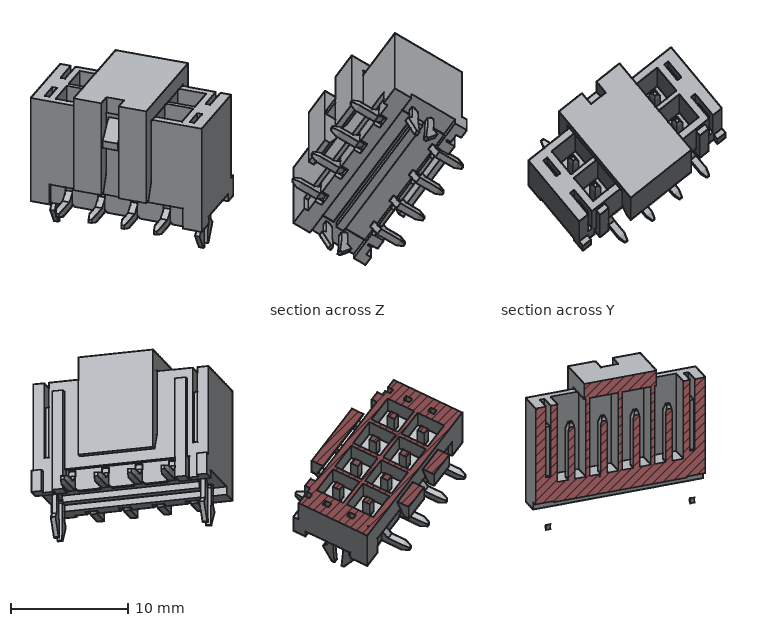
import cadquery as cq


LENGTH = 15.7
HALF_LENGTH = LENGTH / 2
HALF_DEPTH = 3.44
HEIGHT = 9.9

COLUMNS = 4
PITCH = 3.0
ROW_Y = PITCH / 2
COLUMN_XS = [(i - (COLUMNS - 1) / 2) * PITCH for i in range(COLUMNS)]
CAVITY_WIDTH = 2.6
CAVITY_FLOOR = 2.51

PIN_WIDTH = 0.63
PIN_THICKNESS = 0.7
PIN_TIP_WIDTH = 0.28
PIN_TIP_THICKNESS = 0.31
PIN_TIP_LENGTH = 0.63
POST_TOP = 7.85
FOOT_REACH = 5.7
FOOT_BEND_OUTER = 3.69
FOOT_BEND_INNER = 3.12
STEM_OUTER = 2.94
STEM_INNER = 2.4
STEM_TOP = 1.8
STEM_OUTER_BEND = 1.38

RECESS_HALF_LENGTH = 6.14
RECESS_HEIGHT = 1.93
RECESS_DEPTH = 0.38
SLOT_FLARE = 0.24

RIB_PROJECTION = 0.5
TALL_RIB_X = 5.5
TALL_RIB_WIDTH = 0.95
TALL_RIB_TOP = 8.92
END_RIB_WIDTH = 0.9
END_RIB_TOP = RECESS_HEIGHT

TUNNEL_REAR = 2.73
TUNNEL_FRONT = -1.75
TUNNEL_HEIGHT = 0.7
PAD_THICKNESS = 0.11
REAR_PAD_EDGE = 0.57
FRONT_PAD_EDGE = -0.45
STANDOFF_FRONT = -0.2

LOCK_X = 6.65
LOCK_THICKNESS = 0.42
LOCK_SLOT_FLOOR = 3.14
LOCK_ARM_TOP = 7.85
LOCK_REAR_SLOT_FRONT = 1.02
LOCK_REAR_ARM_FRONT = 1.59
LOCK_REAR_ARM_REAR = 2.94
LOCK_FRONT_SLOT_FRONT = -2.62
LOCK_FRONT_SLOT_REAR = -0.85
LOCK_FRONT_ARM_REAR = -1.41
LOCK_CENTRE_Y = 0.08
LEG_BOTTOM = -3.11
LEG_OUTER = 1.1
LEG_INNER = 0.49
LEG_INNER_CHAMFER = 0.31
LEG_CHAMFER_TOP = 0.61
LEG_TAPER_TOP = -1.25
BARB_OUTER = 1.5
BARB_Z = -1.6
BARB_TOP = -1.13
LEG_TIP_OUTER = 0.6
LEG_TIP_INNER = 0.35

WEDGE_WIDTH = 1.38
WEDGE_TOP = 9.42
WEDGE_REACH = 1.37
WEDGE_LIP_TOP = 7.77
WEDGE_LIP_BOTTOM = 7.11
WEDGE_FILLET = 0.68

CAP_WIDTH = 6.67
CAP_TOP = 11.4
CAP_BOTTOM = 2.59
CAP_OUTER = 4.87
CAP_INNER = 3.7
CAP_LEG_TIP = 4.36
CAP_TAPER_TOP = 4.07
CAP_NOTCH_WIDTH = 1.6
CAP_NOTCH_BACK = -3.63


def block(x0, x1, y0, y1, z0, z1):
    """Box between two opposite corners."""
    return cq.Workplane("XY").box(x1 - x0, y1 - y0, z1 - z0, centered=False).translate((x0, y0, z0))


def slab(points, x_centre, thickness):
    """Closed YZ outline extruded along X, centred on x_centre."""
    outline = cq.Workplane("YZ", origin=(x_centre, 0, 0)).polyline(points).close()
    return outline.extrude(thickness / 2, both=True)


def tapered_tip(plane):
    """Pyramid tip of a contact, growing along the normal of the plane."""
    return (
        cq.Workplane(plane)
        .rect(PIN_WIDTH, PIN_THICKNESS)
        .workplane(offset=PIN_TIP_LENGTH)
        .rect(PIN_TIP_WIDTH, PIN_TIP_THICKNESS)
        .loft(combine=True)
    )


def on_both_rows(front_shape):
    """Front shape together with its mirror image at the rear."""
    return front_shape.union(front_shape.mirror("XZ"))


def make_housing():
    housing = block(-HALF_LENGTH, HALF_LENGTH, -HALF_DEPTH, HALF_DEPTH, 0, HEIGHT)

    for x in COLUMN_XS:
        cavity = block(
            x - CAVITY_WIDTH / 2,
            x + CAVITY_WIDTH / 2,
            -ROW_Y - CAVITY_WIDTH / 2,
            -ROW_Y + CAVITY_WIDTH / 2,
            CAVITY_FLOOR,
            HEIGHT,
        )
        housing = housing.cut(on_both_rows(cavity))

    recess_back = -HALF_DEPTH + RECESS_DEPTH
    recess = block(-RECESS_HALF_LENGTH, RECESS_HALF_LENGTH, -HALF_DEPTH, recess_back, 0, RECESS_HEIGHT)
    housing = housing.cut(on_both_rows(recess))

    housing = housing.cut(block(-HALF_LENGTH, HALF_LENGTH, TUNNEL_FRONT, TUNNEL_REAR, 0, TUNNEL_HEIGHT))
    pad_bottom = TUNNEL_HEIGHT - PAD_THICKNESS
    for y0, y1, z0 in (
        (REAR_PAD_EDGE, TUNNEL_REAR, pad_bottom),
        (TUNNEL_FRONT, FRONT_PAD_EDGE, pad_bottom),
        (STANDOFF_FRONT, REAR_PAD_EDGE, 0),
    ):
        housing = housing.union(block(-RECESS_HALF_LENGTH, RECESS_HALF_LENGTH, y0, y1, z0, TUNNEL_HEIGHT))

    half_width = PIN_WIDTH / 2
    for x in COLUMN_XS:
        slot = (
            cq.Workplane("XZ", origin=(x, -STEM_INNER, 0))
            .moveTo(-half_width - SLOT_FLARE, 0)
            .lineTo(-half_width, SLOT_FLARE)
            .lineTo(-half_width, STEM_TOP)
            .lineTo(half_width, STEM_TOP)
            .lineTo(half_width, SLOT_FLARE)
            .lineTo(half_width + SLOT_FLARE, 0)
            .close()
            .extrude(HALF_DEPTH - STEM_INNER)
        )
        housing = housing.cut(on_both_rows(slot))
    return housing


def make_rear_ribs():
    rib_back = HALF_DEPTH + RIB_PROJECTION
    rib_front = HALF_DEPTH - RECESS_DEPTH
    tall_rib = block(
        TALL_RIB_X - TALL_RIB_WIDTH / 2,
        TALL_RIB_X + TALL_RIB_WIDTH / 2,
        rib_front,
        rib_back,
        0,
        TALL_RIB_TOP,
    )
    end_rib = block(HALF_LENGTH - END_RIB_WIDTH, HALF_LENGTH, rib_front, rib_back, 0, END_RIB_TOP)
    ribs = tall_rib.union(end_rib)
    return ribs.union(ribs.mirror("YZ"))


def make_contact(x):
    """Front contact: bent solder foot with its tip, and the post in the cavity."""
    foot_end = -FOOT_REACH + PIN_TIP_LENGTH
    foot = slab(
        [
            (foot_end, 0),
            (-FOOT_BEND_INNER, 0),
            (-STEM_INNER, FOOT_BEND_INNER - STEM_INNER),
            (-STEM_INNER, STEM_TOP),
            (-STEM_OUTER, STEM_TOP),
            (-STEM_OUTER, STEM_OUTER_BEND),
            (-FOOT_BEND_OUTER, PIN_THICKNESS),
            (foot_end, PIN_THICKNESS),
        ],
        x,
        PIN_WIDTH,
    )
    foot_tip = tapered_tip(cq.Plane.named("XZ", origin=(x, foot_end, PIN_THICKNESS / 2)))

    post_shoulder = POST_TOP - PIN_TIP_LENGTH
    post = block(
        x - PIN_WIDTH / 2,
        x + PIN_WIDTH / 2,
        -ROW_Y - PIN_THICKNESS / 2,
        -ROW_Y + PIN_THICKNESS / 2,
        CAVITY_FLOOR,
        post_shoulder,
    )
    post_tip = tapered_tip(cq.Plane.named("XY", origin=(x, -ROW_Y, post_shoulder)))
    return foot.union(foot_tip).union(post.union(post_tip))


def lock_slots(x):
    """Rear slot, open through the rear wall, and front slot of one board lock."""
    left = x - LOCK_THICKNESS / 2
    right = x + LOCK_THICKNESS / 2
    rear = block(left, right, LOCK_REAR_SLOT_FRONT, HALF_DEPTH, LOCK_SLOT_FLOOR, HEIGHT)
    front = block(left, right, LOCK_FRONT_SLOT_FRONT, LOCK_FRONT_SLOT_REAR, LOCK_SLOT_FLOOR, HEIGHT)
    return rear.union(front)


def make_lock(x):
    """Two arms standing in the slots and two barbed legs below the housing."""
    left = x - LOCK_THICKNESS / 2
    right = x + LOCK_THICKNESS / 2
    rear_arm = block(left, right, LOCK_REAR_ARM_FRONT, LOCK_REAR_ARM_REAR, LOCK_SLOT_FLOOR, LOCK_ARM_TOP)
    front_arm = block(left, right, LOCK_FRONT_SLOT_FRONT, LOCK_FRONT_ARM_REAR, LOCK_SLOT_FLOOR, LOCK_ARM_TOP)
    lock = rear_arm.union(front_arm)
    leg = [
        (LEG_OUTER, TUNNEL_HEIGHT),
        (LEG_OUTER, BARB_TOP),
        (BARB_OUTER, BARB_Z),
        (LEG_TIP_OUTER, LEG_BOTTOM),
        (LEG_TIP_INNER, LEG_BOTTOM),
        (LEG_INNER, LEG_TAPER_TOP),
        (LEG_INNER, LEG_CHAMFER_TOP - LEG_INNER_CHAMFER),
        (LEG_INNER + LEG_INNER_CHAMFER, LEG_CHAMFER_TOP),
        (LEG_INNER + LEG_INNER_CHAMFER, TUNNEL_HEIGHT),
    ]
    for side in (-1, 1):
        lock = lock.union(slab([(LOCK_CENTRE_Y + side * y, z) for y, z in leg], x, LOCK_THICKNESS))
    return lock


def make_wedge():
    fillet_bend = WEDGE_FILLET * (1 - 0.5**0.5)
    return (
        cq.Workplane("YZ")
        .moveTo(-HALF_DEPTH, WEDGE_TOP)
        .lineTo(-HALF_DEPTH - WEDGE_REACH, WEDGE_LIP_TOP)
        .lineTo(-HALF_DEPTH - WEDGE_REACH, WEDGE_LIP_BOTTOM)
        .lineTo(-HALF_DEPTH - WEDGE_FILLET, WEDGE_LIP_BOTTOM)
        .threePointArc(
            (-HALF_DEPTH - fillet_bend, WEDGE_LIP_BOTTOM - fillet_bend),
            (-HALF_DEPTH, WEDGE_LIP_BOTTOM - WEDGE_FILLET),
        )
        .close()
        .extrude(WEDGE_WIDTH / 2, both=True)
    )


def make_cap():
    """U-shaped cap straddling the housing, with a gap in its front leg for the wedge."""
    rear_half = [
        (CAP_INNER, HEIGHT),
        (CAP_INNER, CAP_TAPER_TOP),
        (CAP_LEG_TIP, CAP_BOTTOM),
        (CAP_OUTER, CAP_BOTTOM),
        (CAP_OUTER, CAP_TOP),
    ]
    front_half = [(-y, z) for y, z in reversed(rear_half)]
    cap = slab(rear_half + front_half, 0, CAP_WIDTH)
    notch_half = CAP_NOTCH_WIDTH / 2
    return cap.cut(block(-notch_half, notch_half, -CAP_OUTER, CAP_NOTCH_BACK, CAP_BOTTOM, CAP_TOP))


result = make_housing().union(make_rear_ribs())
for contact_x in COLUMN_XS:
    result = result.union(on_both_rows(make_contact(contact_x)))
for lock_x in (-LOCK_X, LOCK_X):
    result = result.cut(lock_slots(lock_x)).union(make_lock(lock_x))
result = result.union(make_wedge()).union(make_cap())